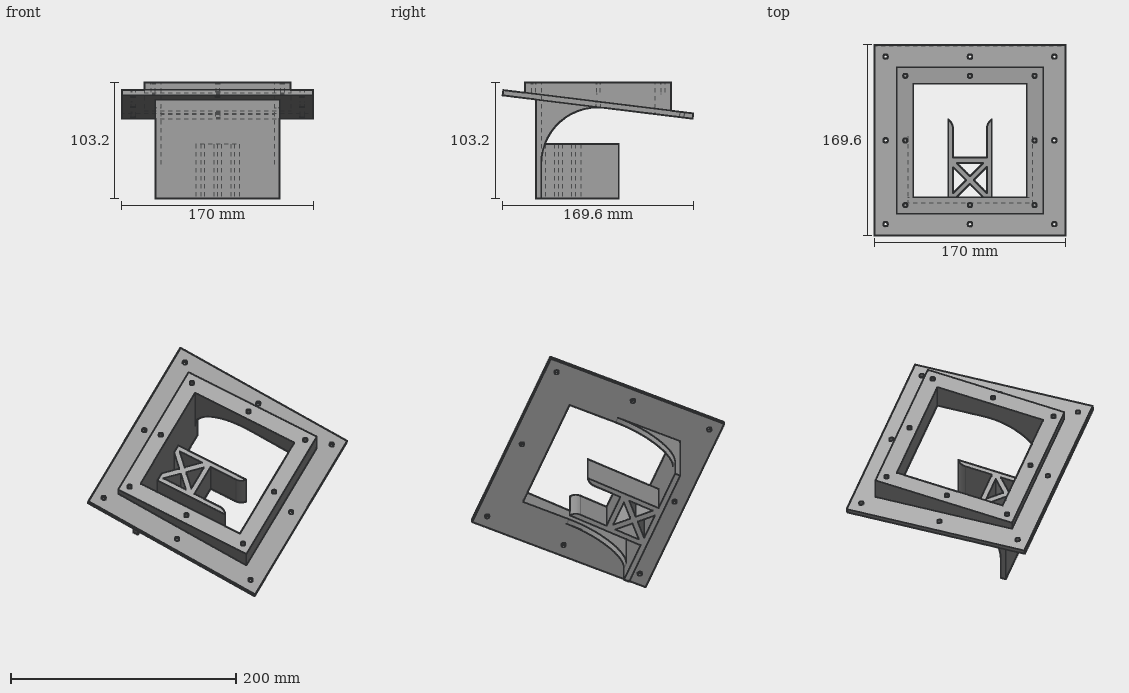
import cadquery as cq
import math

plate_width = 170.0
plate_length = 170.3
plate_thickness = 5.0
tilt = 7.0
plate_hole_offset = 75.0
plate_hole_diameter = 4.0

frame_size = 130.0
opening_size = 100.6
plate_center_depth = 19.5
frame_hole_offset = 57.5
frame_hole_mouth_diameter = 4.0
frame_hole_mouth_depth = 1.0
frame_hole_core_diameter = 3.4
frame_hole_depth = 10.0

wall_thickness = 5.0
overall_height = 103.2
gusset_radius = 50.0

fork_height = 48.6
fork_tip_y = 18.7
slot_width = 30.0
window_length = 30.3
arm_thickness = 4.5
tip_radius = 10.0
crossbar_width = 5.0
brace_width = 5.0

bottom_z = -overall_height
wall_inner_y = -opening_size / 2
wall_outer_y = wall_inner_y - wall_thickness
wall_half_width = opening_size / 2 + wall_thickness
slope = math.tan(math.radians(tilt))


def plate_underside_z(y):
    """Height of the tilted flange's lower face at a given Y."""
    half_drop = plate_thickness / 2 / math.cos(math.radians(tilt))
    return -plate_center_depth - half_drop - y * slope


def ring_of_eight(offset):
    """Corner and mid-side points of a square, without its centre."""
    steps = (-offset, 0, offset)
    return [(x, y) for x in steps for y in steps if (x, y) != (0, 0)]


def make_plate():
    plate = (
        cq.Workplane("XY")
        .box(plate_width, plate_length, plate_thickness)
        .faces(">Z")
        .workplane()
        .pushPoints(ring_of_eight(plate_hole_offset))
        .hole(plate_hole_diameter)
    )
    return plate.rotate((0, 0, 0), (1, 0, 0), -tilt).translate((0, 0, -plate_center_depth))


def make_frame():
    """Wedge with a level top whose lower face follows the flange's mid-plane."""
    half = frame_size / 2
    low_z = -plate_center_depth - half * slope
    high_z = -plate_center_depth + half * slope
    return (
        cq.Workplane("YZ")
        .polyline([(-half, 0), (half, 0), (half, low_z), (-half, high_z)])
        .close()
        .extrude(half, both=True)
    )


def cut_frame_holes(body):
    """Blind stepped holes in the frame's top face: a wider mouth, then a narrower core."""
    steps = (
        (frame_hole_mouth_diameter, frame_hole_mouth_depth),
        (frame_hole_core_diameter, frame_hole_depth),
    )
    for diameter, depth in steps:
        holes = (
            cq.Workplane("XY")
            .pushPoints(ring_of_eight(frame_hole_offset))
            .circle(diameter / 2)
            .extrude(-depth)
        )
        body = body.cut(holes)
    return body


def make_wall():
    """Wall and gussets: one side profile, hollowed between the gussets."""
    angle = math.radians(tilt)
    center_y = wall_inner_y + gusset_radius
    center_z = plate_underside_z(center_y) - gusset_radius / math.cos(angle)
    arc_end_y = center_y + gusset_radius * math.sin(angle)
    mid_angle = (math.pi + math.pi / 2 - angle) / 2
    mid_point = (
        center_y + gusset_radius * math.cos(mid_angle),
        center_z + gusset_radius * math.sin(mid_angle),
    )
    embed = plate_thickness / 2
    profile = (
        cq.Workplane("YZ")
        .moveTo(wall_outer_y, bottom_z)
        .lineTo(wall_inner_y, bottom_z)
        .lineTo(wall_inner_y, center_z)
        .threePointArc(mid_point, (arc_end_y, plate_underside_z(arc_end_y)))
        .lineTo(arc_end_y, plate_underside_z(arc_end_y) + embed)
        .lineTo(wall_outer_y, plate_underside_z(wall_outer_y) + embed)
        .close()
    )
    return profile.extrude(wall_half_width, both=True)


def cut_opening(body):
    opening = cq.Workplane("XY").rect(opening_size, opening_size).extrude(bottom_z)
    return body.cut(opening)


def make_fork():
    """Two arms with rounded tips, a crossbar and an X brace, all of the same height."""
    half_slot = slot_width / 2
    half_fork = half_slot + arm_thickness
    window_top_y = wall_inner_y + window_length
    slot_bottom_y = window_top_y + crossbar_width

    tip_sweep = math.acos(1 - arm_thickness / tip_radius)
    tip_start_y = fork_tip_y - tip_radius * math.sin(tip_sweep)
    tip_mid_x = half_slot + tip_radius * (1 - math.cos(tip_sweep / 2))
    tip_mid_y = tip_start_y + tip_radius * math.sin(tip_sweep / 2)

    fork = (
        cq.Workplane("XY", origin=(0, 0, bottom_z))
        .moveTo(-half_fork, wall_outer_y)
        .lineTo(half_fork, wall_outer_y)
        .lineTo(half_fork, fork_tip_y)
        .threePointArc((tip_mid_x, tip_mid_y), (half_slot, tip_start_y))
        .lineTo(half_slot, slot_bottom_y)
        .lineTo(-half_slot, slot_bottom_y)
        .lineTo(-half_slot, tip_start_y)
        .threePointArc((-tip_mid_x, tip_mid_y), (-half_fork, fork_tip_y))
        .close()
        .extrude(fork_height)
    )

    window_center = (0, wall_inner_y + window_length / 2, bottom_z)
    window = cq.Workplane("XY", origin=window_center).rect(slot_width, window_length).extrude(fork_height)
    brace_length = 2 * slot_width
    for turn in (45, -45):
        brace = (
            cq.Workplane("XY", origin=window_center)
            .transformed(rotate=(0, 0, turn))
            .rect(brace_length, brace_width)
            .extrude(fork_height)
        )
        window = window.cut(brace)
    return fork.cut(window)


body = make_plate().union(make_frame()).union(make_wall())
body = cut_frame_holes(cut_opening(body))
result = body.union(make_fork())